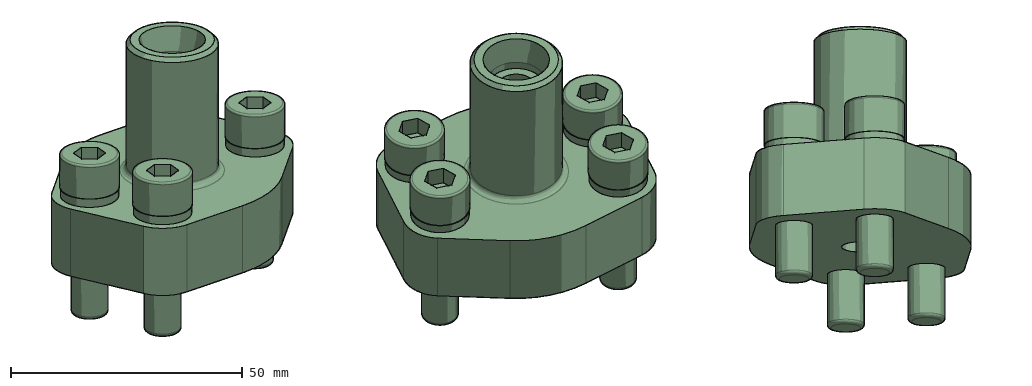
import cadquery as cq
import math

PLATE_BOTTOM = 12.0
PLATE_THICKNESS = 16.0
PLATE_TOP = PLATE_BOTTOM + PLATE_THICKNESS
SIDE_RADIUS = 24.0
LENGTH_Y = 57.0

BOLT_X = 9.1
BOLT_Y = 20.25
CORNER_RADIUS = LENGTH_Y / 2 - BOLT_Y

SHANK_DIAMETER = 8.0
SHANK_FILLET = 0.8
WASHER_DIAMETER = 12.7
WASHER_THICKNESS = 2.0
HEAD_DIAMETER = 13
HEAD_HEIGHT = 8.0
HEAD_FILLET = 0.5
HEX_ACROSS_FLATS = 6.0
HEX_DEPTH = 4.0

PIPE_TOP = 59
PIPE_DIAMETER = 20.0
PIPE_CHAMFER = 0.9
ROOT_FILLET = 1.3
BORE_DIAMETER = 8.0
SEAT_DIAMETER = 12.0
SEAT_DEPTH = 7.25
CONE_MOUTH_DIAMETER = 14.35
CONE_HALF_ANGLE = math.radians(12)


def polar(radius, angle):
    return radius * math.cos(angle), radius * math.sin(angle)


def make_plate():
    """Plate with two side arcs about the origin joined to four corner arcs by tangent lines."""
    bolt_distance = math.hypot(BOLT_X, BOLT_Y)
    bolt_angle = math.atan2(BOLT_Y, BOLT_X)
    normal_angle = bolt_angle - math.acos((SIDE_RADIUS - CORNER_RADIUS) / bolt_distance)
    middle_angle = (normal_angle + math.pi / 2) / 2

    side_x, side_y = polar(SIDE_RADIUS, normal_angle)
    start_dx, start_dy = polar(CORNER_RADIUS, normal_angle)
    middle_dx, middle_dy = polar(CORNER_RADIUS, middle_angle)
    start_x, start_y = BOLT_X + start_dx, BOLT_Y + start_dy
    middle_x, middle_y = BOLT_X + middle_dx, BOLT_Y + middle_dy
    end_y = LENGTH_Y / 2

    return (
        cq.Workplane("XY", origin=(0, 0, PLATE_BOTTOM))
        .moveTo(side_x, -side_y)
        .threePointArc((SIDE_RADIUS, 0), (side_x, side_y))
        .lineTo(start_x, start_y)
        .threePointArc((middle_x, middle_y), (BOLT_X, end_y))
        .lineTo(-BOLT_X, end_y)
        .threePointArc((-middle_x, middle_y), (-start_x, start_y))
        .lineTo(-side_x, side_y)
        .threePointArc((-SIDE_RADIUS, 0), (-side_x, -side_y))
        .lineTo(-start_x, -start_y)
        .threePointArc((-middle_x, -middle_y), (-BOLT_X, -end_y))
        .lineTo(BOLT_X, -end_y)
        .threePointArc((middle_x, -middle_y), (start_x, -start_y))
        .close()
        .extrude(PLATE_THICKNESS)
    )


def make_bolt():
    """Bolt on the Z axis with its shank end at Z = 0, including its washer."""
    washer_top = PLATE_TOP + WASHER_THICKNESS
    shank = cq.Workplane("XY").circle(SHANK_DIAMETER / 2).extrude(PLATE_TOP)
    shank = shank.faces("<Z").fillet(SHANK_FILLET)
    washer = (
        cq.Workplane("XY", origin=(0, 0, PLATE_TOP))
        .circle(WASHER_DIAMETER / 2)
        .extrude(WASHER_THICKNESS)
    )
    hex_diameter = HEX_ACROSS_FLATS / math.cos(math.pi / 6)
    head = (
        cq.Workplane("XY", origin=(0, 0, washer_top))
        .circle(HEAD_DIAMETER / 2)
        .extrude(HEAD_HEIGHT)
        .faces(">Z")
        .fillet(HEAD_FILLET)
    )
    socket = (
        cq.Workplane("XY", origin=(0, 0, washer_top + HEAD_HEIGHT))
        .transformed(rotate=(0, 0, 90))
        .polygon(6, hex_diameter)
        .extrude(-HEX_DEPTH)
    )
    return shank.union(washer).union(head.cut(socket))


def make_pipe():
    """Pipe with a chamfered rim and a concave fillet running out onto the plate."""
    radius = PIPE_DIAMETER / 2
    fillet_middle = ROOT_FILLET * (1 - math.sqrt(0.5))
    return (
        cq.Workplane("XZ")
        .moveTo(0, PLATE_BOTTOM)
        .lineTo(radius + ROOT_FILLET, PLATE_BOTTOM)
        .lineTo(radius + ROOT_FILLET, PLATE_TOP)
        .threePointArc(
            (radius + fillet_middle, PLATE_TOP + fillet_middle),
            (radius, PLATE_TOP + ROOT_FILLET),
        )
        .lineTo(radius, PIPE_TOP - PIPE_CHAMFER)
        .lineTo(radius - PIPE_CHAMFER, PIPE_TOP)
        .lineTo(0, PIPE_TOP)
        .close()
        .revolve()
    )


def make_bore():
    """Through bore that opens into a tube seat and a conical mouth at the top."""
    bore_radius = BORE_DIAMETER / 2
    seat_radius = SEAT_DIAMETER / 2
    mouth_radius = CONE_MOUTH_DIAMETER / 2
    cone_depth = (mouth_radius - seat_radius) / math.tan(CONE_HALF_ANGLE)
    return (
        cq.Workplane("XZ")
        .moveTo(0, PLATE_BOTTOM)
        .lineTo(bore_radius, PLATE_BOTTOM)
        .lineTo(bore_radius, PIPE_TOP - SEAT_DEPTH)
        .lineTo(seat_radius, PIPE_TOP - SEAT_DEPTH)
        .lineTo(seat_radius, PIPE_TOP - cone_depth)
        .lineTo(mouth_radius, PIPE_TOP)
        .lineTo(0, PIPE_TOP)
        .close()
        .revolve()
    )


result = make_plate().union(make_pipe()).cut(make_bore())
bolt = make_bolt()
for x in (-BOLT_X, BOLT_X):
    for y in (-BOLT_Y, BOLT_Y):
        result = result.union(bolt.translate((x, y, 0)))